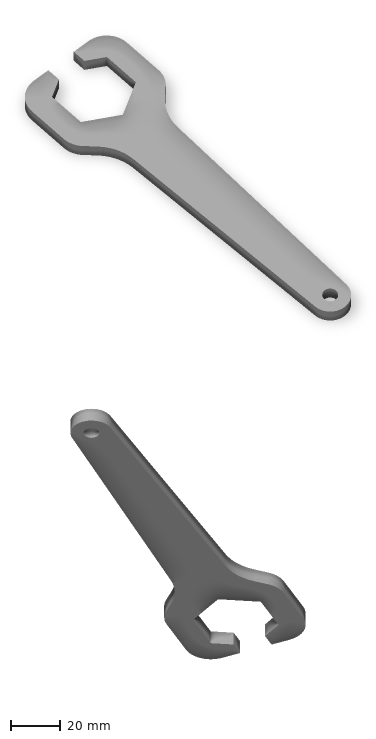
import cadquery as cq
import math

length = 170.0
head_width = 52.0
thickness = 6.0

hex_across_flats = 30.1
hex_center_x = 19.7
mouth_width = 14.0

head_corner_radius = 11.0
shoulder_x = 34.7
neck_x = 48.3
neck_half_width = 12.4
neck_radius = 21.2

tip_radius = 8.5
hanging_hole_diameter = 6.5
tip_center_x = length - tip_radius


def tip_tangent_point():
    """Point where the upper handle edge, starting at the neck, touches the round tip."""
    run = tip_center_x - neck_x
    edge_tilt = math.asin(tip_radius / math.hypot(run, neck_half_width)) - math.atan2(neck_half_width, run)
    return (
        tip_center_x + tip_radius * math.sin(-edge_tilt),
        tip_radius * math.cos(edge_tilt),
    )


def make_body():
    """Plate with a wide head, sloping shoulders and a tapered handle."""
    head_half = head_width / 2
    tangent_x, tangent_y = tip_tangent_point()
    body = (
        cq.Workplane("XY")
        .moveTo(0, -head_half)
        .lineTo(shoulder_x, -head_half)
        .lineTo(neck_x, -neck_half_width)
        .lineTo(tangent_x, -tangent_y)
        .threePointArc((length, 0), (tangent_x, tangent_y))
        .lineTo(neck_x, neck_half_width)
        .lineTo(shoulder_x, head_half)
        .lineTo(0, head_half)
        .close()
        .extrude(thickness)
    )
    margin = 1.7
    head_corners = cq.selectors.BoxSelector(
        (-margin, -head_width, -margin), (shoulder_x + margin, head_width, thickness + margin)
    )
    neck_corners = cq.selectors.BoxSelector(
        (neck_x - margin, -head_width, -margin), (neck_x + margin, head_width, thickness + margin)
    )
    body = body.edges("|Z").edges(neck_corners).fillet(neck_radius)
    return body.edges("|Z").edges(head_corners).fillet(head_corner_radius)


def make_jaw_cutter():
    """Hexagonal socket joined to the mouth slot."""
    across_corners = hex_across_flats * 2 / math.sqrt(3)
    socket = (
        cq.Workplane("XY")
        .center(hex_center_x, 0)
        .polygon(6, across_corners)
        .extrude(thickness)
    )
    mouth = cq.Workplane("XY").box(
        hex_center_x, mouth_width, thickness, centered=(False, True, False)
    )
    return socket.union(mouth)


def make_hanging_hole():
    """Round through hole concentric with the handle tip."""
    return (
        cq.Workplane("XY")
        .center(tip_center_x, 0)
        .circle(hanging_hole_diameter / 2)
        .extrude(thickness)
    )


result = make_body().cut(make_jaw_cutter()).cut(make_hanging_hole())